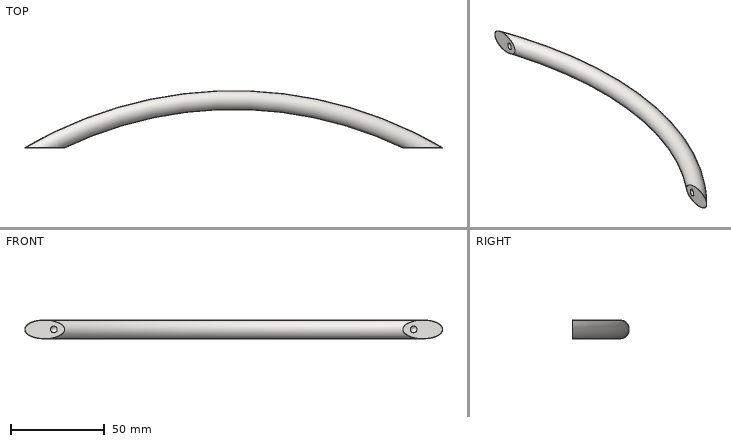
import cadquery as cq
import math

length = 223.0
height = 30.5
bar_diameter = 10.0

hole_spacing = 192.0
hole_diameter = 3.5
hole_depth = 5.0
drill_tip_angle = 118

outer_radius = ((length / 2) ** 2 + height**2) / (2 * height)
bend_radius = outer_radius - bar_diameter / 2
bend_center_y = height - outer_radius


def bow():
    """Full ring of round bar, trimmed to the part on the +Y side of the foot plane."""
    ring = cq.Workplane("XY").add(
        cq.Solid.makeTorus(bend_radius, bar_diameter / 2, cq.Vector(0, bend_center_y, 0))
    )
    keep = cq.Workplane("XY").box(length * 2, height * 2, bar_diameter * 2).translate((0, height, 0))
    return keep.intersect(ring)


def screw_hole(x):
    """Blind hole with a conical drill tip, going into a foot along +Y."""
    radius = hole_diameter / 2
    tip_height = radius / math.tan(math.radians(drill_tip_angle / 2))
    return (
        cq.Workplane("XY")
        .moveTo(0, 0)
        .lineTo(radius, 0)
        .lineTo(radius, hole_depth)
        .lineTo(0, hole_depth + tip_height)
        .close()
        .revolve(360, (0, 0, 0), (0, 1, 0))
        .translate((x, 0, 0))
    )


result = bow()
for side in (-1, 1):
    result = result.cut(screw_hole(side * hole_spacing / 2))